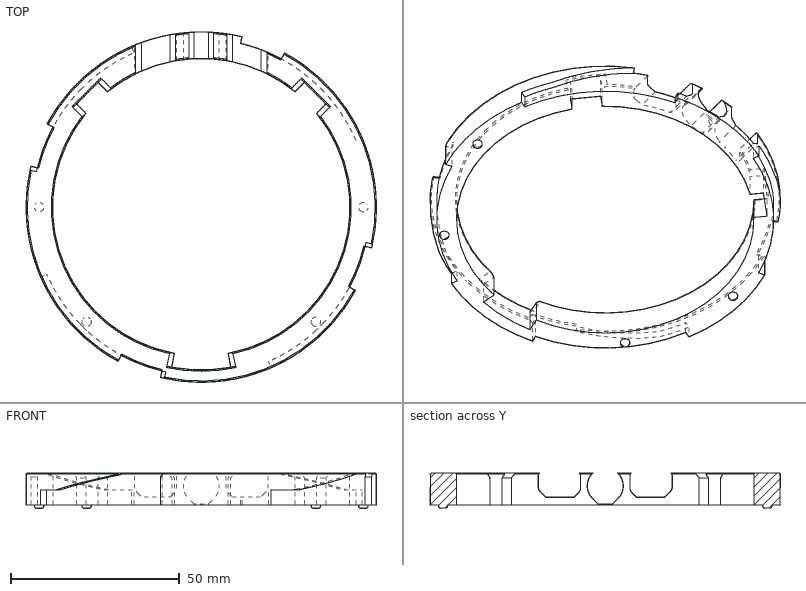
import cadquery as cq
import math

RING_HEIGHT = 9.6
OUTER_RADIUS = 52.0
INNER_RADIUS = 44.1
RIM_CHAMFER = 0.4

TRACK_COUNT = 4
TRACK_RADIUS = 50.0
TRACK_STOP_ANGLE = 23.5
RAMP_START_ANGLE = 34.0
ENTRY_START_ANGLE = 61.65
ENTRY_END_ANGLE = 76.5
TRACK_ROOF_HEIGHT = 4.55
RAMP_TOP_HEIGHT = 9.15
ENTRY_CHAMFER = 1.2

LEAD_IN_HEIGHT = 1.5
FLAT_NOTCH_ANGLES = (45, 135)
FLAT_NOTCH_HALF_WIDTH = 4.5
FLAT_NOTCH_TOP_HALF_WIDTH = 6.0
FLAT_NOTCH_FLOOR = 47.8
ROUND_NOTCH_ANGLE = 270
ROUND_NOTCH_HALF_ANGLE = 10.4
ROUND_NOTCH_TOP_HALF_ANGLE = 12.2
ROUND_NOTCH_FLOOR = 48.3

SEAT_RADIUS = 5.3
SEAT_FLOOR = 0.4
RECESS_FLOOR = 2.4
RECESS_FILLET = 2.0
RECESS_INNER_SLOPE = 1.3
RECESS_OUTER_SLOPE = 1.6
RECESS_INNER_WALL = 7.35
RECESS_OUTER_WALL = 19.85
LIP_HEIGHT = 1.1

PIN_ANGLES = (0, 180, 225, 315)
PIN_CIRCLE_RADIUS = 48.1
PIN_DIAMETER = 2.8
PIN_HEIGHT = 1.0
PIN_FILLET = 0.75

CLEARANCE = 2.0

SLOPE_ANGLE = math.radians(45)

RADIAL_PLANE = cq.Plane(origin=(0, 0, 0), xDir=(0, 1, 0), normal=(1, 0, 0))


def polar(radius, angle):
    """Point in the XY plane at a radius and an angle in degrees."""
    return (radius * math.cos(math.radians(angle)), radius * math.sin(math.radians(angle)))


def turned(solid, angle):
    """Solid turned about the ring axis."""
    return solid.rotate((0, 0, 0), (0, 0, 1), angle)


def revolved_sector(profile, start_angle, end_angle):
    """Closed (radius, Z) profile revolved about Z between two angles."""
    outline = cq.Workplane("XZ").polyline(profile).close()
    return turned(outline.revolve(end_angle - start_angle, (0, 0), (0, 1)), start_angle)


def rim_chamfer_profile(wall_radius):
    """Profile that bevels the top edge of a wall whose open side faces away from the axis."""
    return [
        (wall_radius - RIM_CHAMFER, RING_HEIGHT),
        (wall_radius, RING_HEIGHT - RIM_CHAMFER),
        (wall_radius + CLEARANCE, RING_HEIGHT - RIM_CHAMFER),
        (wall_radius + CLEARANCE, RING_HEIGHT),
    ]


def make_ring():
    ring = cq.Workplane("XY").circle(OUTER_RADIUS).circle(INNER_RADIUS).extrude(RING_HEIGHT)
    return ring.faces(">Z").edges().chamfer(RIM_CHAMFER)


def make_track():
    """Entry over the full height, then a passage under a ramp and a level roof up to the stop."""
    reach = OUTER_RADIUS + CLEARANCE
    wall_profile = [(TRACK_RADIUS, 0), (reach, 0), (reach, RING_HEIGHT), (TRACK_RADIUS, RING_HEIGHT)]
    entry = revolved_sector(wall_profile, ENTRY_START_ANGLE, ENTRY_END_ANGLE)
    passage = revolved_sector(wall_profile, TRACK_STOP_ANGLE, ENTRY_START_ANGLE)

    ramp_middle = (RAMP_START_ANGLE + ENTRY_START_ANGLE) / 2
    ramp_half_length = OUTER_RADIUS * math.sin(math.radians(ENTRY_START_ANGLE - ramp_middle))
    roof_points = [
        (-OUTER_RADIUS, TRACK_ROOF_HEIGHT),
        (-ramp_half_length, TRACK_ROOF_HEIGHT),
        (ramp_half_length, RAMP_TOP_HEIGHT),
        (ramp_half_length, RING_HEIGHT),
        (OUTER_RADIUS, RING_HEIGHT),
        (OUTER_RADIUS, RING_HEIGHT + CLEARANCE),
        (-OUTER_RADIUS, RING_HEIGHT + CLEARANCE),
    ]
    roof = cq.Workplane(RADIAL_PLANE).polyline(roof_points).close().extrude(reach)
    passage = passage.cut(turned(roof, ramp_middle))
    return entry.union(passage)


def make_entry_bevels():
    """Bevels of the entry: along its back wall and on the corner of its end wall."""
    rim = revolved_sector(rim_chamfer_profile(TRACK_RADIUS), ENTRY_START_ANGLE, ENTRY_END_ANGLE)
    corner_points = [
        (0, RING_HEIGHT - ENTRY_CHAMFER),
        (ENTRY_CHAMFER, RING_HEIGHT),
        (0, RING_HEIGHT),
    ]
    corner = cq.Workplane(RADIAL_PLANE).workplane(offset=TRACK_RADIUS).polyline(corner_points).close()
    corner = corner.extrude(OUTER_RADIUS + CLEARANCE - TRACK_RADIUS)
    return rim, turned(corner, ENTRY_END_ANGLE)


def cut_tracks(ring):
    track = make_track()
    rim, corner = make_entry_bevels()
    for index in range(TRACK_COUNT):
        angle = index * 360 / TRACK_COUNT
        for cutter in (track, rim, corner):
            ring = ring.cut(turned(cutter, angle))
    return ring


def notch_cutter(draw_outline, floor, half_size, top_half_size):
    """Notch flared sideways over the lead-in height, its floor bevelled like the rim.

    draw_outline(workplane, floor, half_size) adds the outline of the notch at one level.
    """
    bevel_share = RIM_CHAMFER / LEAD_IN_HEIGHT
    bevel_half_size = top_half_size - (top_half_size - half_size) * bevel_share
    sections = [
        (0, floor, half_size),
        (RING_HEIGHT - LEAD_IN_HEIGHT, floor, half_size),
        (RING_HEIGHT - RIM_CHAMFER, floor, bevel_half_size),
        (RING_HEIGHT, floor + RIM_CHAMFER, top_half_size),
    ]
    cutter = cq.Workplane("XY")
    for (low, *low_sizes), (high, *high_sizes) in zip(sections, sections[1:]):
        layer = draw_outline(cq.Workplane("XY", origin=(0, 0, low)), *low_sizes)
        layer = draw_outline(layer.workplane(offset=high - low), *high_sizes).loft(ruled=True)
        cutter = cutter.add(layer)
    return cutter.combine()


def flat_notch_outline(workplane, floor, half_width):
    mouth = INNER_RADIUS - CLEARANCE
    outline = workplane.moveTo(mouth, -half_width).lineTo(floor, -half_width)
    return outline.lineTo(floor, half_width).lineTo(mouth, half_width).close()


def round_notch_outline(workplane, floor, half_angle):
    mouth = INNER_RADIUS - CLEARANCE
    outline = workplane.moveTo(*polar(mouth, -half_angle)).lineTo(*polar(floor, -half_angle))
    outline = outline.threePointArc((floor, 0), polar(floor, half_angle))
    return outline.lineTo(*polar(mouth, half_angle)).close()


def cut_notches(ring):
    flat = notch_cutter(
        flat_notch_outline, FLAT_NOTCH_FLOOR, FLAT_NOTCH_HALF_WIDTH, FLAT_NOTCH_TOP_HALF_WIDTH
    )
    rounded = notch_cutter(
        round_notch_outline, ROUND_NOTCH_FLOOR, ROUND_NOTCH_HALF_ANGLE, ROUND_NOTCH_TOP_HALF_ANGLE
    )
    for angle in FLAT_NOTCH_ANGLES:
        ring = ring.cut(turned(flat, angle))
    return ring.cut(turned(rounded, ROUND_NOTCH_ANGLE))


def make_seat():
    """Round seat open at the top, its underside squared off by flats tangent to the circle."""
    centre = SEAT_FLOOR + SEAT_RADIUS
    floor_half = SEAT_RADIUS * math.tan(SLOPE_ANGLE / 2)
    tangent = SEAT_RADIUS * math.sin(SLOPE_ANGLE)
    mouth_half = math.sqrt(SEAT_RADIUS**2 - (RING_HEIGHT - centre) ** 2)
    outline = (
        cq.Workplane("XZ")
        .moveTo(-floor_half, SEAT_FLOOR)
        .lineTo(floor_half, SEAT_FLOOR)
        .lineTo(tangent, centre - tangent)
        .threePointArc((SEAT_RADIUS, centre), (mouth_half, RING_HEIGHT))
        .lineTo(-mouth_half, RING_HEIGHT)
        .threePointArc((-SEAT_RADIUS, centre), (-tangent, centre - tangent))
        .close()
    )
    return outline.extrude(-OUTER_RADIUS - CLEARANCE)


def recess_wall_points(wall, inward, slope_run):
    """Points up one recess wall: slope foot, slope top, blend middle and top, lip base, middle and tip.

    The recess lies on the inward side of the wall: 1 for +X, -1 for -X.
    """
    blend_centre = RECESS_FLOOR + slope_run + RECESS_FILLET * math.sin(SLOPE_ANGLE)
    lip_base = RING_HEIGHT - LIP_HEIGHT
    lip_angle = math.asin(LIP_HEIGHT / RECESS_FILLET)

    def arc_point(centre_height, angle):
        inset = RECESS_FILLET * (1 - math.cos(angle))
        return (wall + inward * inset, centre_height + RECESS_FILLET * math.sin(angle))

    blend = [arc_point(blend_centre, angle) for angle in (-SLOPE_ANGLE, -SLOPE_ANGLE / 2, 0)]
    lip = [arc_point(lip_base, angle) for angle in (0, lip_angle / 2, lip_angle)]
    foot = (blend[0][0] + inward * slope_run, RECESS_FLOOR)
    return [foot, *blend, *lip]


def make_recess():
    """Recess on the +X side: 45 degree slopes blended into both walls, a small lip along each top edge."""
    finger_wall = recess_wall_points(RECESS_INNER_WALL, 1, RECESS_INNER_SLOPE)
    foot, slope_top, blend_middle, blend_top = finger_wall[:4]
    lip_base, lip_middle, lip_tip = finger_wall[4:]
    end_wall = recess_wall_points(RECESS_OUTER_WALL, -1, RECESS_OUTER_SLOPE)
    end_foot, end_slope_top, end_blend_middle, end_blend_top = end_wall[:4]
    end_lip_base, end_lip_middle, end_lip_tip = end_wall[4:]
    outline = (
        cq.Workplane("XZ")
        .moveTo(*foot)
        .lineTo(*end_foot)
        .lineTo(*end_slope_top)
        .threePointArc(end_blend_middle, end_blend_top)
        .lineTo(*end_lip_base)
        .threePointArc(end_lip_middle, end_lip_tip)
        .lineTo(*lip_tip)
        .threePointArc(lip_middle, lip_base)
        .lineTo(*blend_top)
        .threePointArc(blend_middle, slope_top)
        .close()
    )
    return outline.extrude(-OUTER_RADIUS - CLEARANCE)


def cut_clip_pocket(ring):
    recess = make_recess()
    for cutter in (make_seat(), recess, recess.mirror("YZ")):
        ring = ring.cut(cutter)
    return ring


def add_pins(ring):
    overlap = PIN_HEIGHT / 2
    pin = cq.Workplane("XY", origin=(0, 0, -PIN_HEIGHT)).circle(PIN_DIAMETER / 2)
    pin = pin.extrude(PIN_HEIGHT + overlap).faces("<Z").edges().fillet(PIN_FILLET)
    for angle in PIN_ANGLES:
        ring = ring.union(pin.translate((*polar(PIN_CIRCLE_RADIUS, angle), 0)))
    return ring


result = make_ring()
result = cut_tracks(result)
result = cut_notches(result)
result = cut_clip_pocket(result)
result = add_pins(result)